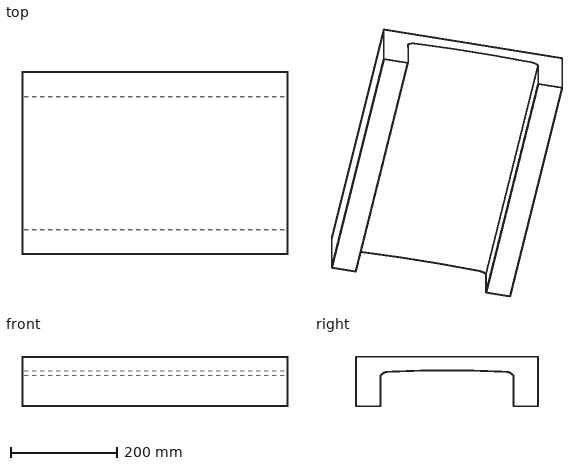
import cadquery as cq
import math

length = 500.0
width = 344.0
height = 94.0

leg_width = 47.0
plate_thickness = 26.0
crown_radius = 2100.0
corner_radius = 18.0
corner_span = 13.0

edge_chamfer = 1.0

half_width = width / 2
half_channel = half_width - leg_width
ceiling_z = height - plate_thickness
crown_center_z = ceiling_z - crown_radius


def arc_point(center, radius, angle):
    """Point on a circle, with the angle measured from +Y towards +Z."""
    return (
        center[0] + radius * math.cos(angle),
        center[1] + radius * math.sin(angle),
    )


def mirrored(point):
    """Reflect a (y, z) point across the middle plane of the part."""
    return (-point[0], point[1])


def make_channel():
    """Channel volume: straight walls, rounded corners and a crowned ceiling."""
    crown_end_y = half_channel - corner_span
    crown_end_angle = math.acos(crown_end_y / crown_radius)
    crown_center = (0.0, crown_center_z)
    crown_end = arc_point(crown_center, crown_radius, crown_end_angle)
    corner_center = arc_point(crown_center, crown_radius - corner_radius, crown_end_angle)

    wall_angle = math.acos((half_channel - corner_center[0]) / corner_radius)
    wall_top = arc_point(corner_center, corner_radius, wall_angle)
    corner_middle = arc_point(corner_center, corner_radius, (crown_end_angle + wall_angle) / 2)

    return (
        cq.Workplane("YZ")
        .moveTo(half_channel, 0)
        .lineTo(*wall_top)
        .threePointArc(corner_middle, crown_end)
        .threePointArc((0, ceiling_z), mirrored(crown_end))
        .threePointArc(mirrored(corner_middle), mirrored(wall_top))
        .lineTo(-half_channel, 0)
        .close()
        .extrude(length / 2, both=True)
    )


def make_block():
    """Solid block with its base on Z = 0, centered in X and Y."""
    return cq.Workplane("XY").box(length, width, height, centered=(True, True, False))


bridge = make_block().cut(make_channel())

result = bridge.faces("<Z or >Z").edges("|X").chamfer(edge_chamfer)